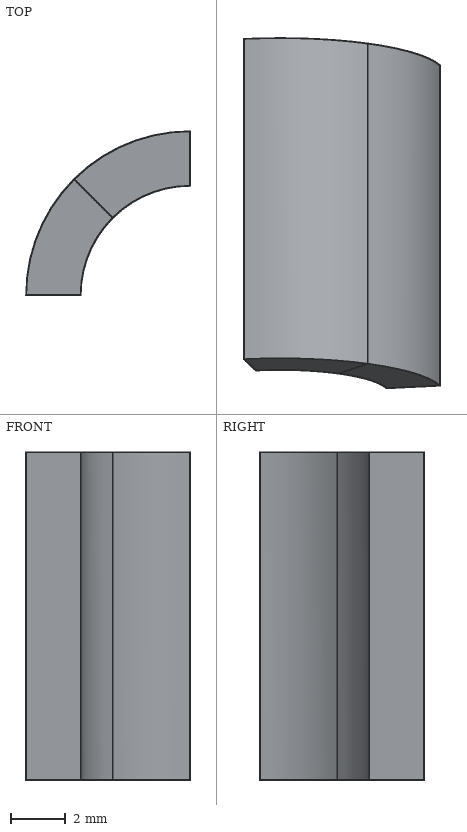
import cadquery as cq
import math

height = 12.0
outer_radius = 6.0
wall = 2.0
inner_radius = outer_radius - wall

start_angle = 90.0
total_angle = 90.0
segment_count = 2
segment_angle = total_angle / segment_count


def polar_point(radius, angle):
    """Point in the XY plane at the given radius and angle in degrees."""
    radians = math.radians(angle)
    return (radius * math.cos(radians), radius * math.sin(radians))


def make_segment(first_angle):
    """One arc-shaped segment, starting at first_angle."""
    middle_angle = first_angle + segment_angle / 2
    last_angle = first_angle + segment_angle
    return (
        cq.Workplane("XY")
        .moveTo(*polar_point(inner_radius, first_angle))
        .lineTo(*polar_point(outer_radius, first_angle))
        .threePointArc(polar_point(outer_radius, middle_angle), polar_point(outer_radius, last_angle))
        .lineTo(*polar_point(inner_radius, last_angle))
        .threePointArc(polar_point(inner_radius, middle_angle), polar_point(inner_radius, first_angle))
        .close()
        .extrude(height)
    )


segments = [make_segment(start_angle + i * segment_angle) for i in range(segment_count)]

result = cq.Compound.makeCompound([segment.val() for segment in segments])